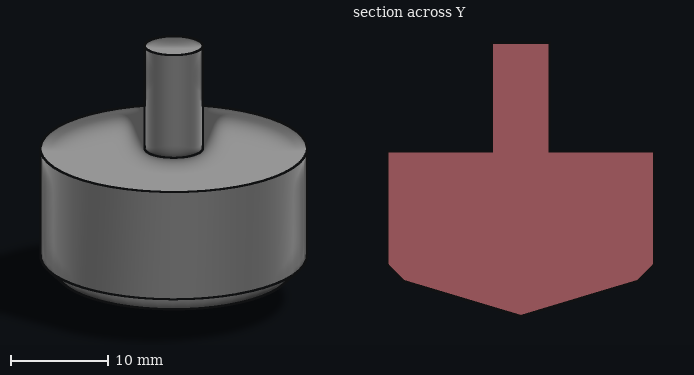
import cadquery as cq

total_height = 28.2
body_diameter = 27.5
stem_diameter = 6.0
stem_height = 11.2
chamfer = 1.7
cone_height = 3.6

body_radius = body_diameter / 2
stem_radius = stem_diameter / 2
cone_radius = body_radius - chamfer
body_bottom = cone_height + chamfer
body_top = total_height - stem_height

half_section = (
    cq.Workplane("XZ")
    .moveTo(0, 0)
    .lineTo(cone_radius, cone_height)
    .lineTo(body_radius, body_bottom)
    .lineTo(body_radius, body_top)
    .lineTo(stem_radius, body_top)
    .lineTo(stem_radius, total_height)
    .lineTo(0, total_height)
    .close()
)

result = half_section.revolve(360, (0, 0, 0), (0, 1, 0))